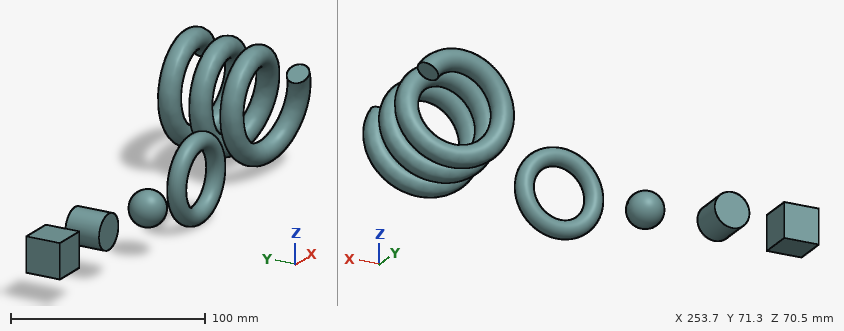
import cadquery as cq

block_size = 20.0
spacing = 2 * block_size

ring_radius = block_size
ring_wire_radius = block_size / 4
ring_gap = 49.7

coil_radius = 25.0
wire_diameter = 12.2
pitch = 18.8
turns = 3
start_angle = 34.5
spring_x = 212.0
spring_y = 0.3
spring_z = 10.7
lean_up = 4
lean_side = 0.9

cylinder_x = spacing
ball_x = cylinder_x + spacing
ring_x = ball_x + ring_gap


def make_cube():
    """Cube whose front face lies in the plane Y = 0."""
    return cq.Workplane("XY").box(block_size, block_size, block_size, centered=(True, False, True))


def make_cylinder():
    """Cylinder along Y that starts in the plane Y = 0."""
    back_facing = cq.Plane(origin=(cylinder_x, 0, 0), xDir=(1, 0, 0), normal=(0, 1, 0))
    return cq.Workplane(back_facing).circle(block_size / 2).extrude(block_size)


def make_ball():
    return cq.Workplane("XY").sphere(block_size / 2).translate((ball_x, 0, 0))


def make_ring():
    """Torus whose axis runs along Y."""
    torus = cq.Solid.makeTorus(ring_radius, ring_wire_radius, cq.Vector(ring_x, 0, 0), cq.Vector(0, 1, 0))
    return cq.Workplane(obj=torus)


def make_spring():
    """Round wire swept along a right-handed helix, with flat ends in a plane through its axis."""
    helix = cq.Wire.makeHelix(pitch, pitch * turns, coil_radius)
    wire_end = cq.Workplane("XZ").center(coil_radius, 0).circle(wire_diameter / 2)
    coil = wire_end.sweep(cq.Workplane(obj=helix), isFrenet=True)

    coil = coil.rotate((0, 0, 0), (1, 0, 0), -90)
    coil = coil.rotate((0, 0, 0), (0, 1, 0), -start_angle)

    coil = coil.rotate((0, 0, 0), (1, 0, 0), lean_up)
    coil = coil.rotate((0, 0, 0), (0, 0, 1), -lean_side)
    return coil.translate((spring_x, spring_y, spring_z))


cube = make_cube()
cylinder = make_cylinder()
ball = make_ball()
ring = make_ring()
spring = make_spring()

result = cq.Compound.makeCompound([cube.val(), cylinder.val(), ball.val(), ring.val(), spring.val()])